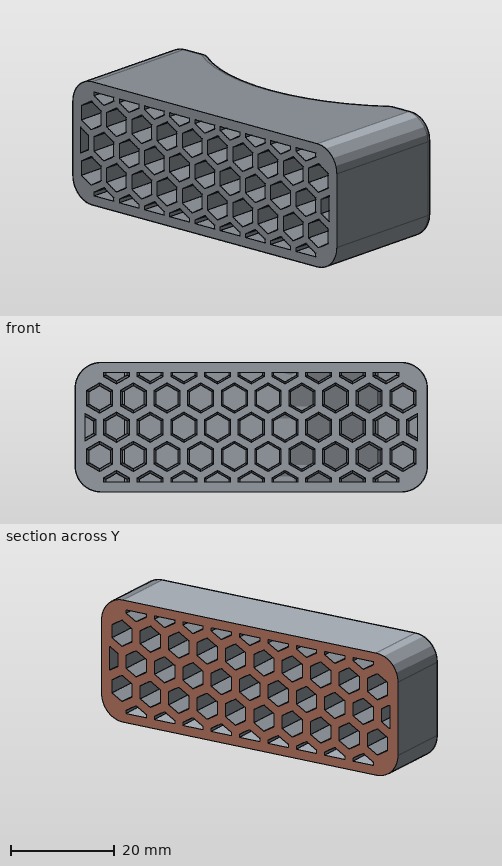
import cadquery as cq
import math

length = 68.0
depth = 28.0
height = 25.0
corner_radius = 5.0
back_fillet = 1.5

saddle_radius = 39.65
saddle_depth = 7.95

wall = 2.0
draft_angle = 1.0
hex_width = 5.0
hex_diameter = hex_width * 2 / math.sqrt(3)
hex_turn = 30.0

row_counts = [11, 10, 9]
honeycomb_length = 65.0
hex_pitch = honeycomb_length / (row_counts[0] - 1)
row_pitch = hex_pitch * math.sqrt(3) / 2

half_depth = depth / 2
saddle_axis_y = half_depth - saddle_depth + saddle_radius


def rounded_block(inset):
    """Block with rounded lengthwise edges, moved in by inset on all sides except the front."""
    return (
        cq.Workplane("XZ", origin=(0, half_depth - inset, 0))
        .rect(length - 2 * inset, height - 2 * inset)
        .extrude(depth - inset)
        .edges("|Y")
        .fillet(corner_radius - inset)
    )


def saddle_cylinder(radius):
    """Upright cylinder that shapes the saddle, taller than the block."""
    return cq.Workplane("XY").center(0, saddle_axis_y).circle(radius).extrude(height, both=True)


def outer_body():
    """Block with the saddle cut and its back outline rounded all the way along, creases included."""
    body = rounded_block(0).cut(saddle_cylinder(saddle_radius))
    back_edges = body.faces(">Y").edges().vals()
    saddle_edges = body.edges("%CIRCLE").edges("<Z or >Z").vals()
    return body.newObject(back_edges + saddle_edges).fillet(back_fillet)


def cell_centers():
    """Centres of the honeycomb cells, every second row shifted by half a pitch."""
    centers = []
    last_row = len(row_counts) - 1
    for row in range(-last_row, last_row + 1):
        count = row_counts[abs(row)]
        for cell in range(count):
            x = (cell - (count - 1) / 2) * hex_pitch
            centers.append((x, row * row_pitch))
    return centers


def pockets():
    """Tapered hexagonal cells, trimmed to leave an even wall inside the outer body."""
    cell = (
        cq.Workplane("XZ", origin=(0, -half_depth, 0))
        .polygon(6, hex_diameter)
        .extrude(-depth, taper=draft_angle)
        .rotate((0, 0, 0), (0, 1, 0), hex_turn)
    )
    inside = rounded_block(wall).cut(saddle_cylinder(saddle_radius + wall))
    cells = cq.Workplane("XY")
    for x, z in cell_centers():
        cells = cells.add(cell.translate((x, 0, z)))
    return inside.intersect(cq.Workplane(cq.Compound.makeCompound(cells.vals())))


result = outer_body().cut(pockets())